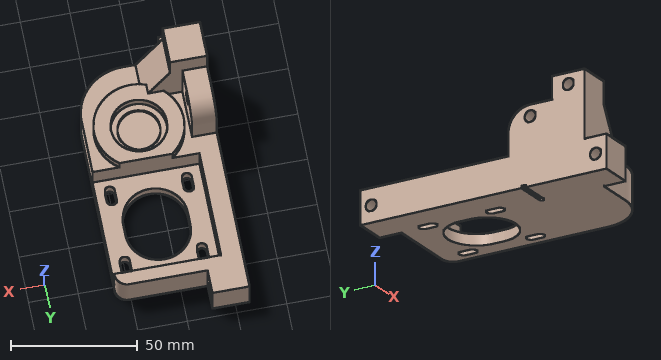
import cadquery as cq

BASE_HEIGHT = 15.0
BAR_WIDTH = 15.0
BAR_LENGTH = 113.0
PLATE_WIDTH = 51.5
PLATE_Y_MIN = 10.0
PLATE_Y_MAX = 103.0
FRONT_CORNER_RADIUS = 20.0
BACK_CORNER_RADIUS = 5.0

MOTOR_X = 30.0
MOTOR_Y = 75.0
POCKET_LENGTH = 45.0
POCKET_WALL_X = 8.5
POCKET_FLOOR = 5.0
OPENING_WIDTH = 26.0
OPENING_LENGTH = 31.0
SLOT_PITCH = 31.0
SLOT_WIDTH = 4.0
SLOT_LENGTH = 8.0

BOSS_X = MOTOR_X
BOSS_Y = 38.0
BOSS_DIAMETER = 36.0
BOSS_HEIGHT = 4.0
BEARING_DIAMETER = 22.4
BEARING_DEPTH = BOSS_HEIGHT
RELIEF_DIAMETER = 17.0
RELIEF_DEPTH = 1.0

BLOCK_LENGTH = 15.0
BLOCK_TOP = 45.0
SLOPE_TOP = 35.0
SLOPE_FOOT_X = 26.0
TAB_THICKNESS = 10.0
TAB_LENGTH = 20.0
TAB_TOP = SLOPE_TOP
TAB_RADIUS = 10.0

SCREW_DIAMETER = 5.0
BAR_HOLE_INSET = 5.0
UPRIGHT_HOLE_INSET = 5.0

GROOVE_WIDTH = 2.0
GROOVE_DEPTH = 1.0
GROOVE_LENGTH = BAR_WIDTH

POCKET_Y_MAX = MOTOR_Y + POCKET_LENGTH / 2
POCKET_Y_MIN = MOTOR_Y - POCKET_LENGTH / 2
BLOCK_Y_MAX = PLATE_Y_MIN + BLOCK_LENGTH
TAB_Y_MAX = BLOCK_Y_MAX + TAB_LENGTH
BOSS_TOP = BASE_HEIGHT + BOSS_HEIGHT


def box(x_min, x_max, y_min, y_max, z_min, z_max):
    """Axis-aligned box given by its limits."""
    size = (x_max - x_min, y_max - y_min, z_max - z_min)
    return cq.Workplane("XY").box(*size, centered=False).translate((x_min, y_min, z_min))


def base():
    """Mounting bar joined to the plate with its two rounded outer corners."""
    bar = box(0, BAR_WIDTH, 0, BAR_LENGTH, 0, BASE_HEIGHT)
    plate = box(0, PLATE_WIDTH, PLATE_Y_MIN, PLATE_Y_MAX, 0, BASE_HEIGHT)
    plate = plate.edges("|Z and >X and <Y").fillet(FRONT_CORNER_RADIUS)
    plate = plate.edges("|Z and >X and >Y").fillet(BACK_CORNER_RADIUS)
    return bar.union(plate)


def bearing_boss():
    """Raised ring around the bearing seat."""
    return (
        cq.Workplane("XY", origin=(BOSS_X, BOSS_Y, 0))
        .circle(BOSS_DIAMETER / 2)
        .extrude(BOSS_TOP)
    )


def bearing_seat():
    """Stepped blind bore: bearing seat with a narrower relief under it."""
    bore = cq.Workplane("XY", origin=(BOSS_X, BOSS_Y, BOSS_TOP))
    seat = bore.circle(BEARING_DIAMETER / 2).extrude(-BEARING_DEPTH)
    relief = bore.circle(RELIEF_DIAMETER / 2).extrude(-BEARING_DEPTH - RELIEF_DEPTH)
    return seat.union(relief)


def sloped_block():
    """Tall block whose inner side slopes down to the plate."""
    profile = [
        (0, 0),
        (SLOPE_FOOT_X, 0),
        (SLOPE_FOOT_X, BASE_HEIGHT),
        (BAR_WIDTH, SLOPE_TOP),
        (BAR_WIDTH, BLOCK_TOP),
        (0, BLOCK_TOP),
    ]
    return (
        cq.Workplane("XZ", origin=(0, PLATE_Y_MIN, 0))
        .polyline(profile)
        .close()
        .extrude(-BLOCK_LENGTH)
    )


def rounded_tab():
    """Lower upright behind the block, rounded at its top far corner."""
    tab = box(0, TAB_THICKNESS, BLOCK_Y_MAX, TAB_Y_MAX, 0, TAB_TOP)
    return tab.edges("|X and >Y and >Z").fillet(TAB_RADIUS)


def motor_pocket():
    """Pocket open to the plate's outer side."""
    return box(POCKET_WALL_X, PLATE_WIDTH, POCKET_Y_MIN, POCKET_Y_MAX, POCKET_FLOOR, BOSS_TOP)


def motor_openings():
    """Elongated clearance opening and four slots through the pocket floor."""
    floor = cq.Workplane("XY", origin=(MOTOR_X, MOTOR_Y, 0))
    opening = floor.slot2D(OPENING_LENGTH, OPENING_WIDTH, 90).extrude(POCKET_FLOOR)
    slots = (
        floor.rarray(SLOT_PITCH, SLOT_PITCH, 2, 2)
        .slot2D(SLOT_LENGTH, SLOT_WIDTH, 90)
        .extrude(POCKET_FLOOR)
    )
    return opening.union(slots)


def cross_holes():
    """Screw holes along X: one at each bar end and two in the upright."""
    centres = [
        (BAR_HOLE_INSET, BASE_HEIGHT / 2),
        (BAR_LENGTH - BAR_HOLE_INSET, BASE_HEIGHT / 2),
        (PLATE_Y_MIN + BLOCK_LENGTH / 2, BLOCK_TOP - UPRIGHT_HOLE_INSET),
        (TAB_Y_MAX - TAB_RADIUS, TAB_TOP - UPRIGHT_HOLE_INSET),
    ]
    return cq.Workplane("YZ").pushPoints(centres).circle(SCREW_DIAMETER / 2).extrude(BAR_WIDTH)


def underside_groove():
    """Shallow groove running inward from the bar's outer face to a round end."""
    end_radius = GROOVE_WIDTH / 2
    straight_end = GROOVE_LENGTH - end_radius
    return (
        cq.Workplane("XY")
        .moveTo(0, BOSS_Y - end_radius)
        .lineTo(straight_end, BOSS_Y - end_radius)
        .threePointArc((GROOVE_LENGTH, BOSS_Y), (straight_end, BOSS_Y + end_radius))
        .lineTo(0, BOSS_Y + end_radius)
        .close()
        .extrude(GROOVE_DEPTH)
    )


body = base().union(bearing_boss()).union(sloped_block()).union(rounded_tab())
body = body.cut(motor_pocket()).cut(motor_openings())
result = body.cut(bearing_seat()).cut(cross_holes()).cut(underside_groove())